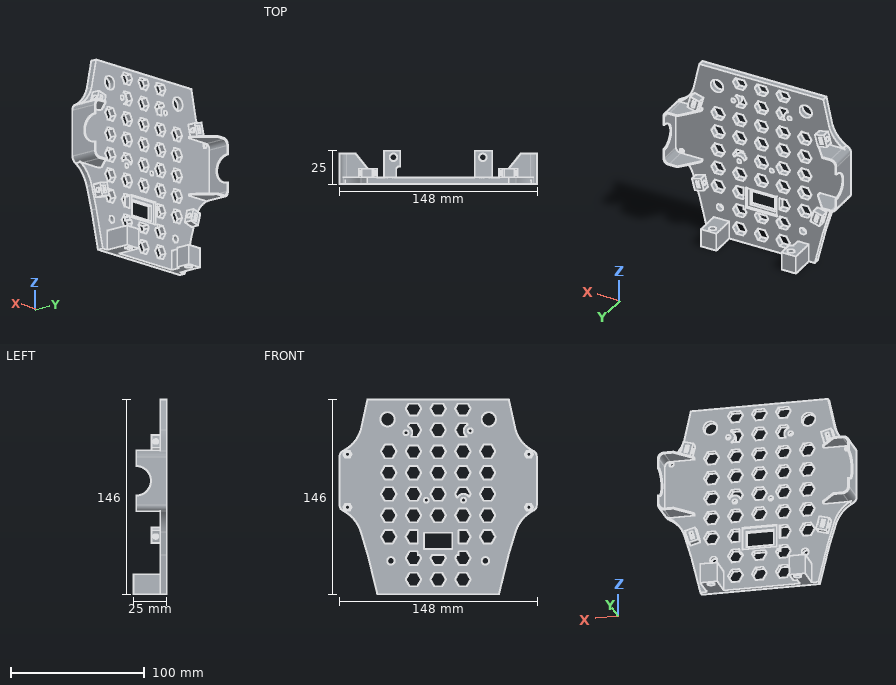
import cadquery as cq

height = 146.0
half_width = 74.0
plate_thickness = 5.0
overlap = 0.3

top_half_width = 53.0
bottom_half_width = 45.6
bend = (52.8, 29.6)
mid_z = 85.0
waist_half_width = 58.0
waist_rise = 38.2
arc_middle_x = 63.2
arc_middle_rise = 28.7
shoulder_half_width = 71.3
shoulder_rise = 22.3

pod_height = 45.9
pod_depth = 23.0
pod_corner_radius = 5.0
pod_wall = 1.0
pod_rear_x = 61.9
pod_base_x = 49.9
pod_base_y = 8.0
pod_notch_radius = 11.0
screw_x = 68.0
screw_rise = 19.8
screw_diameter = 3.5
nut_diameter = 6.4
nut_depth = 3.0

hex_diameter = 11.5
hex_outer_column_x = 37.0
hex_pitch_x = hex_outer_column_x / 2
hex_bottom_row_z = 11.1
hex_top_row_z = 139.0
hex_rows = 9
hex_pitch_z = (hex_top_row_z - hex_bottom_row_z) / (hex_rows - 1)
wide_rows = range(2, 7)

top_rim = 3.4
strip_left, strip_right = -24.4, 5.9
strip_bottom, strip_top = 111.3, 115.5
frame_half_width = 15.4
frame_bottom, frame_top = 29.3, 50.9
window_width = 21.0
window_bottom, window_top = 33.9, 46.0
window_lip = 3.0
frame_wall = 2.0
board_holes = [(-24.1, 120.9), (24.0, 122.4), (-8.9, 70.5), (19.0, 70.5)]
board_hole_diameter = 3.5
board_pad_diameter = 9.8

large_hole_diameter = 10.5
large_hole_x, large_hole_z = 37.9, 131.0
small_hole_diameter = 5.5
small_hole_x, small_hole_z = 35.4, 25.0

lug_width = 8.0
lug_length = 10.0
lug_rear_y = 11.5
lug_tilt = 15.0
lug_hole_diameter = 3.5
lug_slot_thickness = 2.4
lug_slot_width = 5.6
upper_lug_x, upper_lug_z = 54.5, 113.5
lower_lug_x, lower_lug_z = 50.6, 44.1

foot_rear_y = 25.0
foot_height = 15.1
foot_outer_x = 40.5
right_foot_inner_x = 27.4
left_foot_inner_x = 28.3
left_foot_neck_x = 31.2
neck_top_y = 11.7
neck_arc_middle = (30.5, 12.6)
head_bottom_y = 13.0
foot_hole_diameter = 5.5
foot_hole_x, foot_hole_y = 33.5, 20.0


def box(x, y, z):
    """Box spanning the given (low, high) pairs."""
    size = (x[1] - x[0], y[1] - y[0], z[1] - z[0])
    return cq.Workplane("XY").box(*size, centered=False).translate((x[0], y[0], z[0]))


def front_prism(points, diameter, depth, sides=0):
    """Circles, or polygons if sides are given, at (x, z) points, extruded from the front face towards +Y."""
    plane = cq.Workplane("XZ").pushPoints(points)
    shape = plane.polygon(sides, diameter) if sides else plane.circle(diameter / 2)
    return shape.extrude(-depth)


def both_sides(solid):
    return solid.union(solid.mirror("YZ"))


def plate_blank():
    half = (
        cq.Workplane("XZ")
        .lineTo(bottom_half_width, 0)
        .lineTo(*bend)
        .lineTo(waist_half_width, mid_z - waist_rise)
        .threePointArc(
            (arc_middle_x, mid_z - arc_middle_rise),
            (shoulder_half_width, mid_z - shoulder_rise),
        )
        .lineTo(shoulder_half_width, mid_z + shoulder_rise)
        .threePointArc(
            (arc_middle_x, mid_z + arc_middle_rise),
            (waist_half_width, mid_z + waist_rise),
        )
        .lineTo(top_half_width, height)
        .lineTo(0, height)
        .close()
        .extrude(-plate_thickness)
    )
    return both_sides(half)


def hexagon_cuts():
    points = []
    for row in range(hex_rows):
        columns = 2 if row in wide_rows else 1
        for column in range(-columns, columns + 1):
            points.append((column * hex_pitch_x, hex_bottom_row_z + row * hex_pitch_z))
    cuts = front_prism(points, hex_diameter, plate_thickness, sides=6)

    through = (0, plate_thickness)
    cuts = cuts.cut(box((-half_width, half_width), through, (height - top_rim, height)))
    cuts = cuts.cut(box((strip_left, strip_right), through, (strip_bottom, strip_top)))
    cuts = cuts.cut(box((-frame_half_width, frame_half_width), through, (frame_bottom, frame_top)))
    return cuts.cut(front_prism(board_holes, board_pad_diameter, plate_thickness))


def plate_holes():
    large = [(-large_hole_x, large_hole_z), (large_hole_x, large_hole_z)]
    small = [(-small_hole_x, small_hole_z), (small_hole_x, small_hole_z)]
    window = box(
        (-window_width / 2, window_width / 2), (0, plate_thickness), (window_bottom, window_top)
    )
    recess = box(
        (-frame_half_width + frame_wall, frame_half_width - frame_wall),
        (window_lip, plate_thickness),
        (frame_bottom + frame_wall, frame_top - frame_wall),
    )
    return (
        window.union(recess)
        .union(front_prism(large, large_hole_diameter, plate_thickness))
        .union(front_prism(small, small_hole_diameter, plate_thickness))
        .union(front_prism(board_holes, board_hole_diameter, plate_thickness))
    )


def right_pod():
    """Thin shell, open to the rear and towards the middle, with a round notch in its side wall."""
    profile = [
        (half_width, 0),
        (half_width, pod_depth),
        (pod_rear_x, pod_depth),
        (pod_base_x, pod_base_y),
        (pod_base_x, 0),
    ]
    pod = (
        cq.Workplane("XY", origin=(0, 0, mid_z - pod_height / 2))
        .polyline(profile)
        .close()
        .extrude(pod_height)
        .edges("|Y and >X")
        .fillet(pod_corner_radius)
    )
    notch = (
        cq.Workplane("YZ").center(pod_depth, mid_z).circle(pod_notch_radius).extrude(half_width)
    )
    inside = (
        box(
            (0, half_width - pod_wall),
            (plate_thickness, pod_depth),
            (mid_z - pod_height / 2 + pod_wall, mid_z + pod_height / 2 - pod_wall),
        )
        .edges("|Y and >X")
        .fillet(pod_corner_radius - pod_wall)
    )
    return pod.cut(inside).cut(notch)


def pod_screw_cuts():
    points = [(x, mid_z + z) for x in (-screw_x, screw_x) for z in (-screw_rise, screw_rise)]
    screws = front_prism(points, screw_diameter, plate_thickness)
    return screws.union(front_prism(points, nut_diameter, nut_depth, sides=6))


def lug(x, z, tilt):
    """Block on the plate's rear with a cross hole and a nut slot, turned about Y by tilt degrees."""
    y = (plate_thickness - overlap, lug_rear_y)
    block = box((-lug_width / 2, lug_width / 2), y, (-lug_length / 2, lug_length / 2))
    hole = (
        cq.Workplane("YZ", origin=(-lug_width / 2, (plate_thickness + lug_rear_y) / 2, 0))
        .circle(lug_hole_diameter / 2)
        .extrude(lug_width)
    )
    slot = box(
        (-lug_slot_thickness / 2, lug_slot_thickness / 2),
        (plate_thickness, lug_rear_y),
        (-lug_slot_width / 2, lug_slot_width / 2),
    )
    return block.cut(hole).cut(slot).rotate((0, 0, 0), (0, 1, 0), tilt).translate((x, 0, z))


def right_foot():
    y = (plate_thickness - overlap, foot_rear_y)
    return box((right_foot_inner_x, foot_outer_x), y, (0, foot_height))


def left_foot():
    """Foot whose inner side is cut back near the plate to a narrower neck."""
    return (
        cq.Workplane("XY")
        .moveTo(-foot_outer_x, plate_thickness - overlap)
        .lineTo(-left_foot_neck_x, plate_thickness - overlap)
        .lineTo(-left_foot_neck_x, neck_top_y)
        .threePointArc(
            (-neck_arc_middle[0], neck_arc_middle[1]), (-left_foot_inner_x, head_bottom_y)
        )
        .lineTo(-left_foot_inner_x, foot_rear_y)
        .lineTo(-foot_outer_x, foot_rear_y)
        .close()
        .extrude(foot_height)
    )


def foot_holes():
    points = [(-foot_hole_x, foot_hole_y), (foot_hole_x, foot_hole_y)]
    return cq.Workplane("XY").pushPoints(points).circle(foot_hole_diameter / 2).extrude(foot_height)


plate = plate_blank().cut(hexagon_cuts()).cut(plate_holes())
lugs = lug(upper_lug_x, upper_lug_z, -lug_tilt).union(lug(lower_lug_x, lower_lug_z, lug_tilt))
feet = left_foot().union(right_foot()).cut(foot_holes())

body = (
    plate.union(both_sides(right_pod()))
    .cut(pod_screw_cuts())
    .union(both_sides(lugs))
    .union(feet)
)
result = cq.Workplane(body.solids().val())